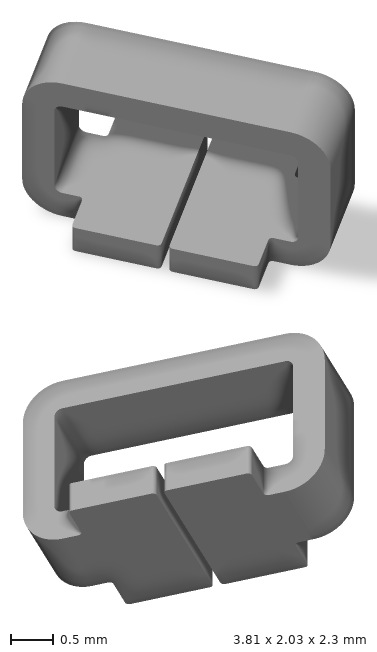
import cadquery as cq

length = 3.81
depth = 2.03
height = 2.3

strip_thickness = 0.4
strip_width = 1.025
outer_bend_radius = 0.5
inner_bend_radius = 0.1

slit_width = 0.1
foot_length = 1.1
foot_corner_radius = 0.05


def make_loop():
    """Closed rounded frame, standing on Z = 0 and centred on the Y = 0 plane."""
    outer = (
        cq.Workplane("XY")
        .box(length, strip_width, height)
        .edges("|Y")
        .fillet(outer_bend_radius)
    )
    window = (
        cq.Workplane("XY")
        .box(length - 2 * strip_thickness, strip_width, height - 2 * strip_thickness)
        .edges("|Y")
        .fillet(inner_bend_radius)
    )
    return outer.cut(window).translate((0, 0, height / 2))


def make_foot_plate():
    """Plate holding both feet, sticking out of the bottom run on both sides."""
    plate_length = 2 * foot_length + slit_width
    return cq.Workplane("XY").box(
        plate_length, depth, strip_thickness, centered=(True, True, False)
    )


def fillet_roots(body):
    """Round the inside corners where the feet leave the strip."""
    root_x = foot_length + slit_width / 2
    root_y = strip_width / 2
    margin = foot_corner_radius / 2
    for x in (-root_x, root_x):
        for y in (-root_y, root_y):
            root = cq.selectors.BoxSelector(
                (x - margin, y - margin, 0),
                (x + margin, y + margin, strip_thickness),
            )
            body = body.edges("|Z").edges(root).fillet(foot_corner_radius)
    return body


def cut_slit(body):
    """Part the bottom run into two feet."""
    slit = cq.Workplane("XY").box(
        slit_width, depth, strip_thickness, centered=(True, True, False)
    )
    return body.cut(slit)


def fillet_foot_tips(body):
    """Round the four upright corners of each foot at its two ends."""
    for end_face in ("<Y", ">Y"):
        body = body.faces(end_face).edges("|Z").fillet(foot_corner_radius)
    return body


result = make_loop().union(make_foot_plate())
result = fillet_roots(result)
result = cut_slit(result)
result = fillet_foot_tips(result)